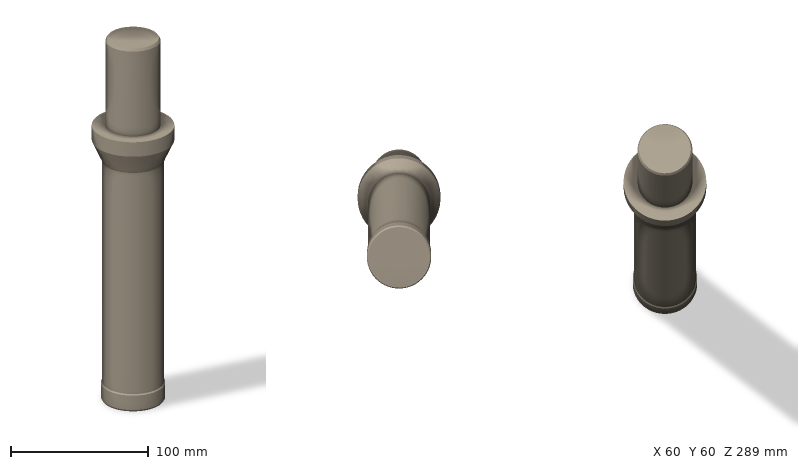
import cadquery as cq

TOTAL_HEIGHT = 289.0
SHANK_DIAMETER = 40.0
SHANK_LENGTH = 70.0
SHANK_CHAMFER_HEIGHT = 2.0
SHANK_CHAMFER_INSET = 1.2
COLLAR_DIAMETER = 60.0
COLLAR_HEIGHT = 11.5
CONE_HEIGHT = 16.5
COLUMN_DIAMETER = 45.0
FOOT_DIAMETER = 46.8
FOOT_HEIGHT = 14.0
FOOT_TOP_CHAMFER_HEIGHT = 1.0
FOOT_TOP_CHAMFER_INSET = 1.0
FOOT_BOTTOM_CHAMFER_HEIGHT = 1.5
FOOT_BOTTOM_CHAMFER_INSET = 1.0

COLLAR_TOP = TOTAL_HEIGHT - SHANK_LENGTH
COLLAR_BOTTOM = COLLAR_TOP - COLLAR_HEIGHT
CONE_BOTTOM = COLLAR_BOTTOM - CONE_HEIGHT
SHANK_RADIUS = SHANK_DIAMETER / 2
COLLAR_RADIUS = COLLAR_DIAMETER / 2
COLUMN_RADIUS = COLUMN_DIAMETER / 2
FOOT_RADIUS = FOOT_DIAMETER / 2


def revolve_about_axis(profile):
    """Revolve a closed (radius, height) outline a full turn about Z."""
    return cq.Workplane("XZ").polyline(profile).close().revolve(360, (0, 0), (0, 1))


def make_post():
    """Revolve the column, cone, collar and chamfered shank as one solid standing on the foot."""
    profile = [
        (0, FOOT_HEIGHT),
        (COLUMN_RADIUS, FOOT_HEIGHT),
        (COLUMN_RADIUS, CONE_BOTTOM),
        (COLLAR_RADIUS, COLLAR_BOTTOM),
        (COLLAR_RADIUS, COLLAR_TOP),
        (SHANK_RADIUS, COLLAR_TOP),
        (SHANK_RADIUS, TOTAL_HEIGHT - SHANK_CHAMFER_HEIGHT),
        (SHANK_RADIUS - SHANK_CHAMFER_INSET, TOTAL_HEIGHT),
        (0, TOTAL_HEIGHT),
    ]
    return revolve_about_axis(profile)


def make_foot():
    """Make the slightly wider end disc, chamfered on both rims."""
    profile = [
        (0, 0),
        (FOOT_RADIUS - FOOT_BOTTOM_CHAMFER_INSET, 0),
        (FOOT_RADIUS, FOOT_BOTTOM_CHAMFER_HEIGHT),
        (FOOT_RADIUS, FOOT_HEIGHT - FOOT_TOP_CHAMFER_HEIGHT),
        (FOOT_RADIUS - FOOT_TOP_CHAMFER_INSET, FOOT_HEIGHT),
        (0, FOOT_HEIGHT),
    ]
    return revolve_about_axis(profile)


post = make_post()
foot = make_foot()

result = cq.Compound.makeCompound([post.val(), foot.val()])